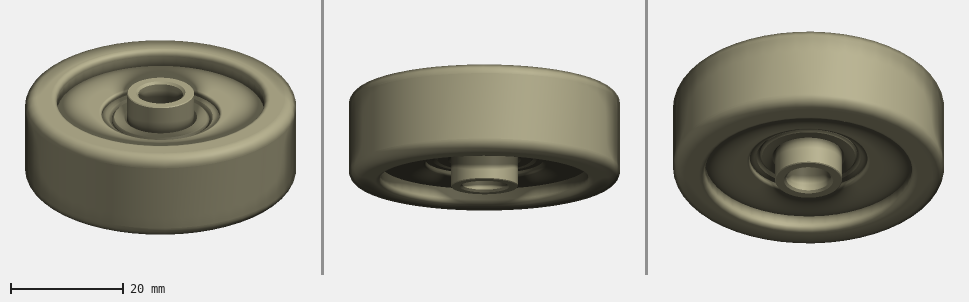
import cadquery as cq

wheel_radius = 24.2
wheel_width = 16.0
tread_fillet = 2.0
recess_radius = 18.5
recess_depth = 3.0
recess_lip_fillet = 1.0
hub_bore_radius = 10.5
hub_bore_fillet = 0.5

bearing_width = 8.2
outer_ring_inner_radius = 8.7
outer_ring_chamfer = 0.6
inner_ring_length = 18.0
inner_ring_radius = 6.0
bore_radius = 4.0
bore_chamfer = 0.4
inner_ring_edge_chamfer = 0.15

shield_inner_chamfer = 0.5
shield_outer_chamfer = 0.4
shield_thickness = 1.0

smallest_circles = cq.selectors.RadiusNthSelector(0)
largest_circles = cq.selectors.RadiusNthSelector(-1)


def ring(outer_radius, inner_radius, width):
    """Plain ring about Z, centred on the mid plane."""
    return (
        cq.Workplane("XY", origin=(0, 0, -width / 2))
        .circle(outer_radius)
        .circle(inner_radius)
        .extrude(width)
    )


def make_wheel():
    """Tread with rounded shoulders and a thinner web that carries the bearing."""
    rim = ring(wheel_radius, recess_radius, wheel_width)
    rim = rim.faces("|Z").edges(largest_circles).fillet(tread_fillet)
    rim = rim.faces("|Z").edges(smallest_circles).fillet(recess_lip_fillet)
    web = ring(recess_radius, hub_bore_radius, wheel_width - 2 * recess_depth)
    web = web.faces("|Z").edges(smallest_circles).fillet(hub_bore_fillet)
    return rim.union(web)


def make_outer_ring():
    """Bearing outer ring, its bore chamfered at both faces."""
    body = ring(hub_bore_radius, outer_ring_inner_radius, bearing_width)
    return body.faces("|Z").edges(smallest_circles).chamfer(outer_ring_chamfer)


def make_inner_ring():
    """Long inner ring, both edges of each end chamfered."""
    body = ring(inner_ring_radius, bore_radius, inner_ring_length)
    body = body.faces("|Z").edges(largest_circles).chamfer(inner_ring_edge_chamfer)
    return body.faces("|Z").edges(smallest_circles).chamfer(bore_chamfer)


def make_shield():
    """Flat annular shield with bevelled edges, flush with the top bearing face."""
    return (
        cq.Workplane("XY", origin=(0, 0, bearing_width / 2 - shield_thickness))
        .circle(outer_ring_inner_radius)
        .circle(inner_ring_radius)
        .extrude(shield_thickness)
        .faces(">Z")
        .edges(largest_circles)
        .chamfer(shield_outer_chamfer)
        .faces(">Z")
        .edges(smallest_circles)
        .chamfer(shield_inner_chamfer)
    )


wheel = make_wheel()
outer_ring = make_outer_ring()
inner_ring = make_inner_ring()
top_shield = make_shield()
shields = [top_shield, top_shield.mirror("XY")]

result = cq.Compound.makeCompound(
    [wheel.val(), outer_ring.val(), inner_ring.val(), *[shield.val() for shield in shields]]
)